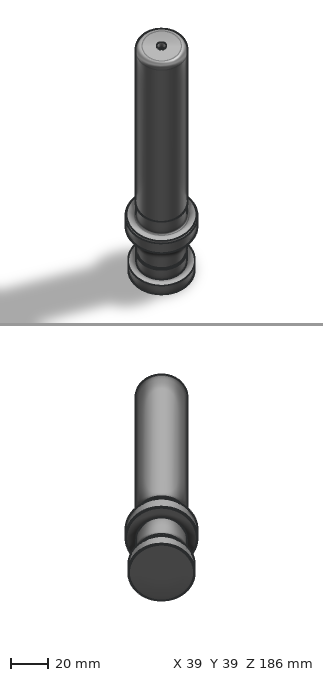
import cadquery as cq
import math

total_height = 186.0
neck_radius = 13.8

foot_radius = 18.0
foot_flange_height = 8.0
foot_height = 16.0
foot_edge_chamfer = 0.5

spigot_chamfer_width = 0.7
spigot_chamfer_height = 1.7
relief_depth = 0.7
relief_height = 1.5

collar_radius = 19.5
collar_bottom = 36.0
collar_top = 46.0
collar_top_chamfer_width = 0.7
collar_top_chamfer_height = 1.3
collar_bottom_chamfer = 0.5
collar_root_fillet = 1.0

shaft_radius = 14.1
shaft_bottom = 56.0
shaft_bottom_chamfer = 0.4
shaft_top_fillet = 3.5

centre_mouth_radius = 2.6
centre_drill_radius = 1.1
centre_cone_angle = 60.0
centre_drill_depth = 2.8


def revolve_profile(outline):
    """Turn a closed outline (radius, height) about the Z axis."""
    return outline.close().revolve(360, (0, 0, 0), (0, 1, 0))


def make_foot():
    outline = (
        cq.Workplane("XZ")
        .moveTo(0, 0)
        .lineTo(foot_radius - foot_edge_chamfer, 0)
        .lineTo(foot_radius, foot_edge_chamfer)
        .lineTo(foot_radius, foot_flange_height)
        .lineTo(neck_radius, foot_flange_height)
        .lineTo(neck_radius, foot_height)
        .lineTo(0, foot_height)
    )
    return revolve_profile(outline)


def make_pillar_blank():
    fillet_middle = shaft_top_fillet * (1 - math.sqrt(0.5))
    outline = (
        cq.Workplane("XZ")
        .moveTo(0, foot_height)
        .lineTo(neck_radius - spigot_chamfer_width, foot_height)
        .lineTo(neck_radius, foot_height + spigot_chamfer_height)
        .lineTo(neck_radius, collar_bottom - relief_height)
        .lineTo(neck_radius - relief_depth, collar_bottom)
        .lineTo(collar_radius - collar_bottom_chamfer, collar_bottom)
        .lineTo(collar_radius, collar_bottom + collar_bottom_chamfer)
        .lineTo(collar_radius, collar_top - collar_top_chamfer_height)
        .lineTo(collar_radius - collar_top_chamfer_width, collar_top)
        .lineTo(neck_radius + collar_root_fillet, collar_top)
        .radiusArc((neck_radius, collar_top + collar_root_fillet), collar_root_fillet)
        .lineTo(neck_radius, shaft_bottom)
        .lineTo(shaft_radius, shaft_bottom + shaft_bottom_chamfer)
        .lineTo(shaft_radius, total_height - shaft_top_fillet)
        .threePointArc(
            (shaft_radius - fillet_middle, total_height - fillet_middle),
            (shaft_radius - shaft_top_fillet, total_height),
        )
        .lineTo(0, total_height)
    )
    return revolve_profile(outline)


def make_centre_hole():
    half_angle = math.radians(centre_cone_angle / 2)
    cone_depth = (centre_mouth_radius - centre_drill_radius) / math.tan(half_angle)
    drill_top = total_height - cone_depth
    drill_bottom = drill_top - centre_drill_depth
    outline = (
        cq.Workplane("XZ")
        .moveTo(0, total_height)
        .lineTo(centre_mouth_radius, total_height)
        .lineTo(centre_drill_radius, drill_top)
        .lineTo(centre_drill_radius, drill_bottom)
        .lineTo(0, drill_bottom)
    )
    return revolve_profile(outline)


foot = make_foot()
pillar = make_pillar_blank().cut(make_centre_hole())

result = cq.Compound.makeCompound([foot.val(), pillar.val()])